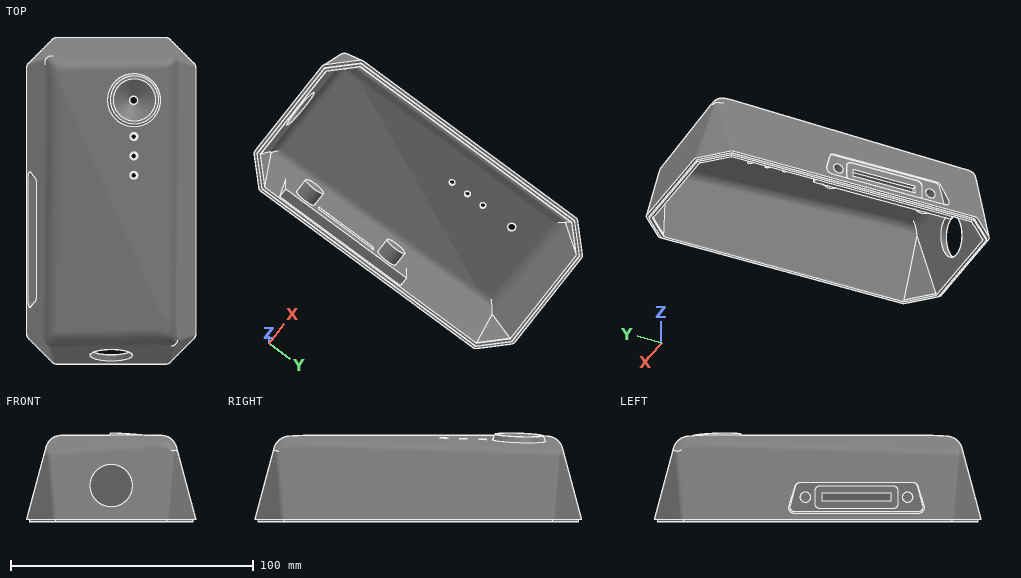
import cadquery as cq
import math

length = 135.0
width = 70.0
ridge_height = 34.8
wall = 2.5
side_draft = 15.0
roof_tilt = 5.0
edge_radius = 7.0

corner_chamfer = 11.5
corner_draft = 7.5
corner_radius = 2.5
low_corner_radius = 3.0

lip_height = 1.0
lip_inset = 1.3

outlet_diameter = 17.46
outlet_z = 14.0

recess_floor_x = -30.3
recess_y = -16.0
recess_z = 9.2
recess_floor_width = 52.8
recess_height = 12.0
recess_side_lean = 15.0
recess_corner_radius = 1.9
recess_draft = 10.0
recess_reach = 8.0
backing_thickness = 2.2
flange_width = 34.4
flange_height = 9.4
flange_radius = 2.2
flange_depth = 0.2
slot_width = 28.4
slot_height = 3.3
screw_spacing = 42.2
screw_hole_diameter = 4.3
screw_hole_depth = 6.0
screw_boss_diameter = screw_hole_diameter + 2 * wall

controls_x = 9.4
cup_y = 41.6
cup_base_diameter = 21.9
cup_rim_diameter = 19.9
cup_bowl_diameter = 17.46
cup_hole_diameter = 3.3
cup_height = 2.33
cup_bowl_depth = 3.9
led_first_y = 26.6
led_pitch = 8.0
led_count = 3
led_diameter = 3.2
led_inner_diameter = 2.4
led_seat_depth = 1.0

side_slope = math.tan(math.radians(side_draft))
roof_slope = math.tan(math.radians(roof_tilt))
ridge_half_x = width / 2 - ridge_height * side_slope
ridge_half_y = length / 2 - ridge_height * side_slope
ridge_angle = math.atan2(ridge_half_x, ridge_half_y)
ridge_normal_x = math.cos(ridge_angle)
ridge_normal_y = math.sin(ridge_angle)


def rounded_block(inset, radius):
    """Drafted block under the ridged roof, faces moved inward by inset, roof border rounded."""
    side_inset = inset / math.cos(math.radians(side_draft))
    half_x = width / 2 - side_inset
    half_y = length / 2 - side_inset
    block = cq.Workplane("XY").rect(2 * half_x, 2 * half_y).extrude(ridge_height, taper=side_draft)

    ridge_z = ridge_height - inset / math.cos(math.radians(roof_tilt))
    eaves_z = ridge_z - length * roof_slope
    roof = (
        cq.Workplane("XZ")
        .polyline([(-length, 0), (length, 0), (length, eaves_z), (0, ridge_z), (-length, eaves_z)])
        .close()
        .extrude(length, both=True)
        .rotate((0, 0, 0), (0, 0, 1), math.degrees(ridge_angle))
    )
    hull = block.intersect(roof)

    def on_roof_border(edge):
        is_ridge = math.hypot(edge.Center().x, edge.Center().y) < edge_radius
        return min(edge.startPoint().z, edge.endPoint().z) > ridge_height / 2 and not is_ridge

    return hull.newObject(hull.edges().filter(on_roof_border).vals()).fillet(radius)


def corner_diamond(inset):
    """Tapered square standing on its corner; its faces are the chamfers of the upright corners."""
    chamfer_inset = inset / math.cos(math.radians(corner_draft))
    side = ((width + length) / 2 - corner_chamfer) * math.sqrt(2) - 2 * chamfer_inset
    return (
        cq.Workplane("XY")
        .rect(side, side)
        .extrude(2 * ridge_height, taper=corner_draft)
        .rotate((0, 0, 0), (0, 0, 1), 45)
    )


def outer_hull():
    """Outer form of the shell with all its edges rounded."""
    def rise(edge):
        return abs(edge.startPoint().z - edge.endPoint().z)

    def at_low_corner(edge):
        center = edge.Center()
        near_corner = min(abs(center.x) / width, abs(center.y) / length) > 0.25
        return near_corner and center.x * center.y > 0 and rise(edge) > corner_radius

    def is_upright(edge):
        return rise(edge) > ridge_height / 3

    block = rounded_block(0, edge_radius)
    block = block.newObject(block.edges().filter(at_low_corner).vals()).fillet(low_corner_radius)
    hull = block.intersect(corner_diamond(0))
    return hull.newObject(hull.edges().filter(is_upright).vals()).fillet(corner_radius)


def rim_plate(inset):
    """Plate of the lip's height below Z = 0, with the rim's outline moved inward by inset."""
    chamfer = corner_chamfer - inset * (2 - math.sqrt(2))
    return (
        cq.Workplane("XY")
        .rect(width - 2 * inset, length - 2 * inset)
        .extrude(-lip_height)
        .edges("|Z")
        .chamfer(chamfer)
    )


def cavity():
    """Inside of the shell, open at the bottom through the lip."""
    opening_inset = wall / math.cos(math.radians(side_draft))
    chamber = rounded_block(wall, edge_radius - wall).intersect(corner_diamond(wall))
    return chamber.union(rim_plate(opening_inset))


def recess_plane(x):
    """Plane across X at the recess centre, drawn along +Y and +Z, facing +X."""
    return cq.Workplane("YZ", origin=(x, recess_y, recess_z))


def recess_pocket():
    """Rounded trapezoid pocket widening from its floor out through the wall."""
    half_height = recess_height / 2
    lean = half_height * math.tan(math.radians(recess_side_lean))
    half_bottom = recess_floor_width / 2 + lean
    half_top = recess_floor_width / 2 - lean
    corners = [
        (-half_bottom, -half_height),
        (half_bottom, -half_height),
        (half_top, half_height),
        (-half_top, half_height),
    ]
    outline = cq.Sketch().polygon(corners + corners[:1]).vertices().fillet(recess_corner_radius)
    return recess_plane(recess_floor_x).placeSketch(outline).extrude(-recess_reach, taper=-recess_draft)


def recess_backing():
    """Wall and screw bosses behind the recess floor."""
    plate = (
        recess_plane(recess_floor_x - recess_reach)
        .rect(recess_floor_width + 4 * wall, recess_height + 2 * wall)
        .extrude(recess_reach + backing_thickness)
    )
    bosses = (
        recess_plane(recess_floor_x)
        .rarray(screw_spacing, 1, 2, 1)
        .circle(screw_boss_diameter / 2)
        .extrude(screw_hole_depth + wall)
    )
    return plate.union(bosses)


def recess_cuts():
    """Pocket, shallow connector seat, through slot and blind screw holes."""
    flange = (
        recess_plane(recess_floor_x)
        .rect(flange_width, flange_height)
        .extrude(flange_depth)
        .edges("|X")
        .fillet(flange_radius)
    )
    slot = recess_plane(recess_floor_x).rect(slot_width, slot_height).extrude(2 * backing_thickness)
    screw_holes = (
        recess_plane(recess_floor_x)
        .rarray(screw_spacing, 1, 2, 1)
        .circle(screw_hole_diameter / 2)
        .extrude(screw_hole_depth)
    )
    return recess_pocket().union(flange).union(slot).union(screw_holes)


def outlet_hole():
    """Round hole along Y through the -Y wall only."""
    return (
        cq.Workplane("XZ", origin=(0, 0, outlet_z))
        .circle(outlet_diameter / 2)
        .extrude(length)
    )


def on_roof(shape, y):
    """Move a shape built about the Z axis to the roof at y, its axis square to the +X roof face."""
    height = ridge_height - roof_slope * (controls_x * ridge_normal_x + y * ridge_normal_y)
    tilt_axis = (-ridge_normal_y, ridge_normal_x, 0)
    return shape.rotate((0, 0, 0), tilt_axis, roof_tilt).translate((controls_x, y, height))


def button_cup():
    """Conical collar standing on the roof."""
    return (
        cq.Workplane("XY")
        .circle(cup_base_diameter / 2)
        .workplane(offset=cup_height)
        .circle(cup_rim_diameter / 2)
        .loft()
    )


def button_bowl():
    """Conical bowl sunk from the cup rim, ending in a through hole."""
    bowl_bottom = cup_height - cup_bowl_depth
    return (
        cq.Workplane("XZ")
        .polyline([
            (0, cup_height),
            (cup_bowl_diameter / 2, cup_height),
            (cup_hole_diameter / 2, bowl_bottom),
            (cup_hole_diameter / 2, -2 * wall),
            (0, -2 * wall),
        ])
        .close()
        .revolve()
    )


def led_hole():
    """Through hole with a wider seat at the roof surface."""
    seat = cq.Workplane("XY").circle(led_diameter / 2).extrude(-led_seat_depth)
    bore = cq.Workplane("XY").circle(led_inner_diameter / 2).extrude(-2 * wall)
    return seat.union(bore)


outer = outer_hull()
result = outer.union(rim_plate(lip_inset)).cut(cavity())
result = result.union(recess_backing().intersect(outer)).cut(recess_cuts())
result = result.cut(outlet_hole())
result = result.union(on_roof(button_cup(), cup_y)).cut(on_roof(button_bowl(), cup_y))
for index in range(led_count):
    result = result.cut(on_roof(led_hole(), led_first_y - index * led_pitch))